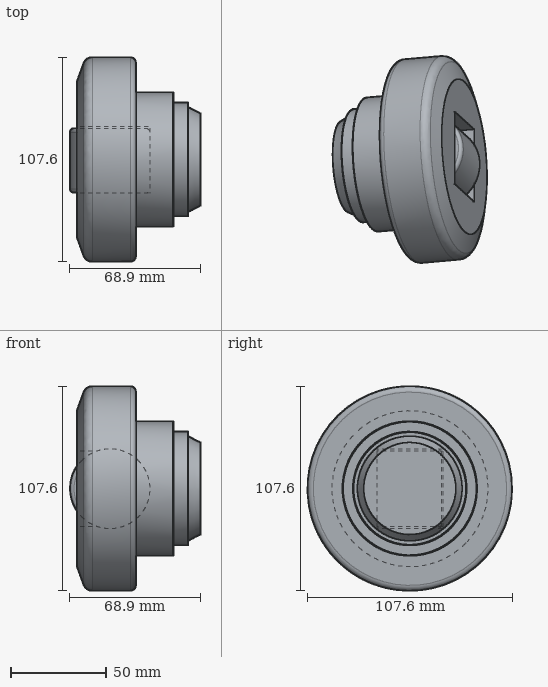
import cadquery as cq
import math

flange_radius = 53.8
flange_width = 31.1
face_radius = 41.0
face_cone_angle = 20.0
front_fillet = 5.0
rear_fillet = 3.0
hub_radius = 71.0 / 2
hub_length = 19.8
hub_chamfer = 0.4
neck_radius = 60.0 / 2
neck_length = 7.8
neck_chamfer = 0.4
tip_base_radius = 27.6
tip_end_radius = 24.2
tip_length = 6.5

roller_radius = 42.0 / 2
roller_width = 33.9
roller_fillet = 2.0
roller_protrusion = 3.7
roller_axis_x = roller_radius - roller_protrusion

window_width = 34.9
window_height = 39.6

hub_end = flange_width + hub_length
neck_end = hub_end + neck_length
tip_end = neck_end + tip_length
face_cone_depth = (flange_radius - face_radius) * math.tan(math.radians(face_cone_angle))


def turned(points):
    """Solid of revolution about X from its (x, radius) outline."""
    return cq.Workplane("XY").polyline(points).close().revolve(360, (0, 0, 0), (1, 0, 0))


def cross_cylinder(start_y, width):
    """Cylinder along Y on the roller axis, from start_y toward +Y."""
    return cq.Workplane("XY").add(
        cq.Solid.makeCylinder(
            roller_radius, width, cq.Vector(roller_axis_x, start_y, 0), cq.Vector(0, 1, 0)
        )
    )


def make_flange():
    flange = turned([
        (0, 0),
        (0, face_radius),
        (face_cone_depth, flange_radius),
        (flange_width, flange_radius),
        (flange_width, 0),
    ])
    rim_corner = cq.selectors.NearestToPointSelector((face_cone_depth, 0, 0))
    flange = flange.faces(">X").edges().fillet(rear_fillet)
    return flange.edges("%CIRCLE").edges(rim_corner).fillet(front_fillet)


def make_hub():
    return turned([
        (flange_width, 0),
        (flange_width, hub_radius),
        (hub_end - hub_chamfer, hub_radius),
        (hub_end, hub_radius - hub_chamfer),
        (hub_end, neck_radius),
        (neck_end - neck_chamfer, neck_radius),
        (neck_end, neck_radius - neck_chamfer),
        (neck_end, tip_base_radius),
        (tip_end, tip_end_radius),
        (tip_end, 0),
    ])


def make_pocket():
    """Rectangular window opening into a round seat that fits the roller."""
    window = cq.Workplane("XY").box(
        roller_axis_x, window_width, window_height, centered=(False, True, True)
    )
    seat = cross_cylinder(-window_width / 2, window_width)
    return window.union(seat)


def make_housing():
    return make_flange().union(make_hub()).cut(make_pocket())


def make_roller():
    """Roller with rounded ends, resting against the -Y wall of the pocket."""
    return cross_cylinder(-window_width / 2, roller_width).edges("%CIRCLE").fillet(roller_fillet)


housing = make_housing()
roller = make_roller()
result = cq.Compound.makeCompound([housing.solids().val(), roller.solids().val()])